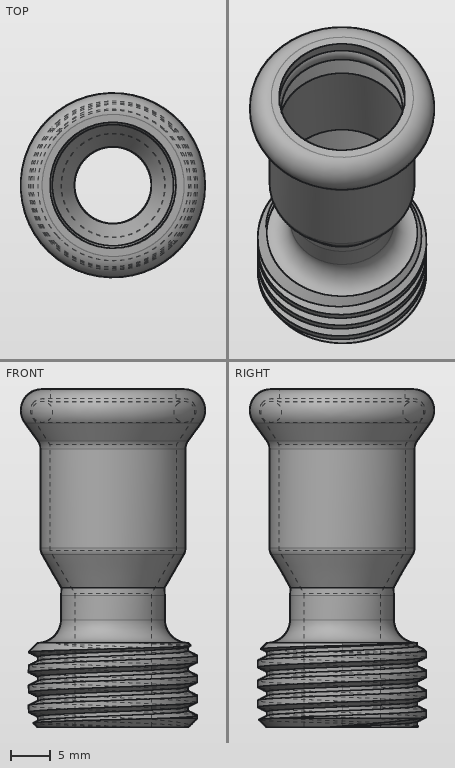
import cadquery as cq
import math

height = 42.5
overall_radius = 23.2 / 2

socket_bore_radius = 15.9 / 2
mouth_radius = 15.8 / 2
wall = 1.2
socket_radius = socket_bore_radius + wall
socket_bore_top_z = 35.55
bead_arc_radius = 2.68
bead_center_radius = overall_radius - bead_arc_radius
bead_center_z = height - bead_arc_radius
bead_cavity_radius = bead_arc_radius - wall
bead_cone_angle = math.radians(36)
bead_blend_radius = 1.7

seal_inner_radius = 15.2 / 2
seal_section_radius = bead_center_radius - seal_inner_radius
seal_z = bead_center_z - 0.15

socket_bottom_z = 22.55
taper_angle = math.radians(30)
taper_blend_radius = 1.7
taper_bottom_z = 17.5
throat_radius = 9.7 / 2

neck_radius = 13.1 / 2
neck_lead_in_z = 16.6
bore_radius = 9.6 / 2
thread_top_z = 10.62
thread_root_radius = 18.9 / 2
thread_crest_radius = 21.2 / 2
thread_depth = thread_crest_radius - thread_root_radius
neck_fillet_radius = thread_root_radius - neck_radius

thread_pitch = 2.5
thread_crest_width = 0.85
thread_base_width = 2.0
thread_root_overlap = 0.13
thread_crest_z = 2.35


def arc_point(center_r, center_z, radius, angle):
    """Point on a circle in the (radius, height) half plane, angle from +R."""
    return (center_r + radius * math.cos(angle), center_z + radius * math.sin(angle))


def bead_point(radius, angle):
    return arc_point(bead_center_radius, bead_center_z, radius, angle)


def height_on_cone(start, radius, angle):
    """Height at which a cone narrowing downward from start reaches a radius."""
    return start[1] - (start[0] - radius) / math.tan(angle)


def revolve_profile(profile):
    return profile.close().revolve(360, (0, 0, 0), (0, 1, 0))


def make_shell():
    """Fitting without its thread: revolved wall from mouth to threaded end."""
    bead_end = bead_point(bead_arc_radius, -bead_cone_angle)
    blend_center_r = socket_radius + bead_blend_radius
    blend_drop = bead_blend_radius * math.sin(bead_cone_angle)
    blend_start_r = blend_center_r - bead_blend_radius * math.cos(bead_cone_angle)
    blend_center_z = height_on_cone(bead_end, blend_start_r, bead_cone_angle) - blend_drop
    bead_blend = [
        arc_point(blend_center_r, blend_center_z, bead_blend_radius, math.pi - angle)
        for angle in (bead_cone_angle, bead_cone_angle / 2, 0)
    ]

    taper_center_r = socket_radius - taper_blend_radius
    taper_blend = [
        arc_point(taper_center_r, socket_bottom_z, taper_blend_radius, -angle)
        for angle in (0, taper_angle / 2, taper_angle)
    ]
    taper_height = taper_blend[2][1] - taper_bottom_z
    taper_bottom_radius = taper_blend[2][0] - taper_height * math.tan(taper_angle)

    neck_fillet_z = thread_top_z + neck_fillet_radius
    neck_fillet_mid = arc_point(
        thread_root_radius, neck_fillet_z, neck_fillet_radius, math.radians(225)
    )

    inner_taper_start = (socket_bore_radius, socket_bottom_z - wall * math.tan(taper_angle / 2))
    inner_taper_end_z = height_on_cone(inner_taper_start, throat_radius, taper_angle)
    cavity_end = bead_point(bead_cavity_radius, -bead_cone_angle)
    mouth_offset = bead_center_radius - mouth_radius
    mouth_bottom_z = bead_center_z + math.sqrt(bead_cavity_radius**2 - mouth_offset**2)

    profile = (
        cq.Workplane("XZ")
        .moveTo(mouth_radius, height)
        .lineTo(bead_center_radius, height)
        .threePointArc(bead_point(bead_arc_radius, 0), bead_end)
        .lineTo(*bead_blend[0])
        .threePointArc(bead_blend[1], bead_blend[2])
        .lineTo(*taper_blend[0])
        .threePointArc(taper_blend[1], taper_blend[2])
        .lineTo(taper_bottom_radius, taper_bottom_z)
        .lineTo(neck_radius, neck_lead_in_z)
        .lineTo(neck_radius, neck_fillet_z)
        .threePointArc(neck_fillet_mid, (thread_root_radius, thread_top_z))
        .lineTo(thread_root_radius, 0)
        .lineTo(bore_radius, 0)
        .lineTo(bore_radius, inner_taper_end_z)
        .lineTo(throat_radius, inner_taper_end_z)
        .lineTo(*inner_taper_start)
        .lineTo(socket_bore_radius, socket_bore_top_z)
        .lineTo(*cavity_end)
        .threePointArc(bead_point(bead_cavity_radius, 0), (mouth_radius, mouth_bottom_z))
    )
    return revolve_profile(profile)


def make_thread():
    """Right-hand trapezoidal ridge, chamfered at both ends of the threaded length."""
    start_z = thread_crest_z - 2 * thread_pitch
    turns = math.ceil((thread_top_z - start_z) / thread_pitch) + 1
    base_radius = thread_root_radius - thread_root_overlap
    flank = (thread_base_width - thread_crest_width) / 2
    base_half = thread_base_width / 2 + flank * thread_root_overlap / thread_depth
    crest_half = thread_crest_width / 2

    helix = cq.Wire.makeHelix(thread_pitch, turns * thread_pitch, base_radius)
    ridge = (
        cq.Workplane("XZ")
        .polyline([
            (base_radius, -base_half),
            (thread_crest_radius, -crest_half),
            (thread_crest_radius, crest_half),
            (base_radius, base_half),
        ])
        .close()
        .sweep(cq.Workplane(obj=helix), isFrenet=True)
        .rotate((0, 0, 0), (0, 0, 1), 180)
        .translate((0, 0, start_z))
    )
    inner_radius = base_radius - thread_root_overlap
    outer_radius = thread_crest_radius + thread_root_overlap
    chamfer_rise = outer_radius - thread_root_radius
    envelope = (
        cq.Workplane("XZ")
        .moveTo(inner_radius, 0)
        .lineTo(thread_root_radius, 0)
        .lineTo(outer_radius, chamfer_rise)
        .lineTo(outer_radius, thread_top_z - chamfer_rise)
        .lineTo(thread_root_radius, thread_top_z)
        .lineTo(inner_radius, thread_top_z)
    )
    return revolve_profile(envelope).intersect(ridge)


def make_fitting():
    return make_shell().union(make_thread()).solids()


def make_seal():
    """Round-section sealing ring held in the bead cavity."""
    seal = cq.Solid.makeTorus(bead_center_radius, seal_section_radius, cq.Vector(0, 0, seal_z))
    return cq.Workplane(obj=seal)


fitting = make_fitting()
seal = make_seal()
result = cq.Compound.makeCompound([fitting.val(), seal.val()])